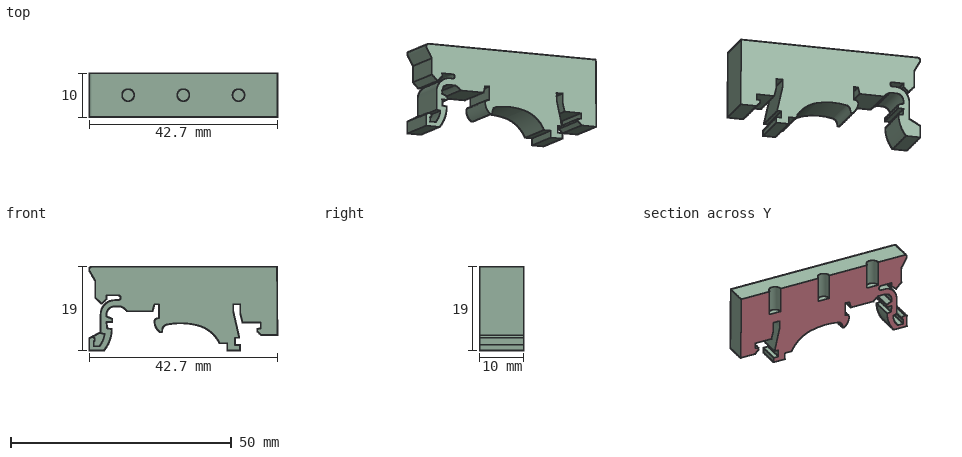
import cadquery as cq
import math

LENGTH = 42.69
WIDTH = 10.0
HEIGHT = 19.0
BACK_DRAFT = 0.1

LIP_RADIUS = 0.67
LIP_SLOPE_ANGLE = math.radians(60)
NOSE_X = 1.41
NOSE_BOTTOM_Z = 11.95
NOSE_TIP_X = 2.83
NOSE_TIP_Z = 10.55

SLOT_X = 3.99
SLOT_MOUTH_Z = 11.65
SLOT_TOP_Z = 12.47
SLOT_BOTTOM_Z = 11.45
SLOT_ROUND_X = 6.62
SLOT_RADIUS = (SLOT_TOP_Z - SLOT_BOTTOM_Z) / 2

ARM_OUTER_X = 2.6
ARM_INNER_X = SLOT_X
ARM_OUTER_RADIUS = 3.3
ARM_INNER_RADIUS = 1.75
ARM_UNDERSIDE_Z = 9.95
ARM_ROOT_X = 7.2
ARM_ROOT_CURVE_MIDDLE = (7.85, 9.6)

LATCH_FRONT_Z = 2.76
LATCH_SLOPE_TOP_Z = 4.15
LATCH_HEEL_X = 3.41
LATCH_INNER_X = 5.17
LATCH_CURVE_MIDDLE = (4.6, 2.0)
LATCH_CURVE_TOP_Z = 4.3
LATCH_SHOULDER_Z = 4.9
LATCH_SHOULDER_ROOT = (4.14, 5.02)
TOOTH_X = 5.27
TOOTH_BOTTOM_Z = 6.43
TOOTH_CORNER_Z = 7.17
TOOTH_TOP_Z = 7.75

POCKET_WALL = 1.18
POCKET_FRONT_X = 1.03
POCKET_FLOOR_Z = 1.03
POCKET_FLOOR_END_X = 2.38
POCKET_TOP_Z = 3.92
POCKET_CURVE_MIDDLE = (3.15, 2.3)
POCKET_CURVE_TOP = (3.55, 3.77)
BEAD_TOP_X = 0.55
BEAD_CURVE_START = (0.85, 2.98)
BEAD_CURVE_MIDDLE = (1.32, 2.55)
BEAD_BOTTOM_Z = 2.06

BELLY_X = 8.6
BELLY_END_X = 14.4
BELLY_Z = 8.9
RAIL_SLOT_TOP_Z = 10.43
HOOK_SLOT_X = 14.83
HOOK_SLOT_END_X = 15.82

HOOK_TOP_Z = 7.33
HOOK_SHOULDER_MIDDLE = (15.0, 7.07)
HOOK_SHOULDER_END = (14.79, 6.62)
HOOK_BACK_MIDDLE = (15.1, 5.3)
HOOK_TIP_START = (16.0, 4.2)
HOOK_TIP_MIDDLE = (16.35, 4.12)
HOOK_TIP_END = (16.6, 4.4)
HOOK_ROOT_MIDDLE = (16.85, 5.35)
ARCH_START = (17.5, 5.85)
ARCH_CROWN = (20.4, 6.17)
ARCH_JOINT = (24.57, 5.69)
ARCH_FLANK_MIDDLE = (27.2, 4.45)
ARCH_END_X = 29.55

FOOT_X = 31.27
FOOT_END_X = 34.2
FOOT_STEP_Z = 1.6
FOOT_TOE_Z = 1.29
FOOT_NOTCH_X = 33.05
FOOT_NOTCH_TOP_Z = 2.85
WEB_CORNER_X = 33.97
WEB_CORNER_Z = 3.2
FOOT_SLOT_X = 32.68
FOOT_SLOT_BEND_Z = 8.86
FOOT_SLOT_END_BEND_Z = 8.42

CATCH_ROOF_X = 34.74
CATCH_ROOF_Z = 6.3
CATCH_WALL_X = 38.84
CATCH_WALL_Z = 5.05
CATCH_NOSE_X = 38.04
CATCH_NOSE_TOP_Z = 4.9
CATCH_NOSE_Z = 4.4
CATCH_TOE_X = 38.96
CATCH_BOTTOM_Z = 3.49

HOLE_DIAMETER = 2.75
HOLE_DEPTH = 6.0
HOLE_PITCH = 12.5
HOLE_COUNT = 3
MIDDLE_HOLE_X = LENGTH / 2

DIAGONAL = math.sqrt(0.5)


def add_latch_end(outline):
    """From the top of the lip round the nose, slot, arm and latch to the arm root."""
    outer_center_x = ARM_OUTER_X + ARM_OUTER_RADIUS
    outer_center_z = SLOT_BOTTOM_Z - ARM_OUTER_RADIUS
    inner_center_x = ARM_INNER_X + ARM_INNER_RADIUS
    inner_center_z = ARM_UNDERSIDE_Z - ARM_INNER_RADIUS
    lip_end_x = LIP_RADIUS * (1 - math.sin(LIP_SLOPE_ANGLE))
    lip_end_z = HEIGHT - LIP_RADIUS * (1 + math.cos(LIP_SLOPE_ANGLE))
    nose_top_z = lip_end_z - (NOSE_X - lip_end_x) * math.tan(LIP_SLOPE_ANGLE)
    return (
        outline.threePointArc((0, HEIGHT - LIP_RADIUS), (lip_end_x, lip_end_z))
        .lineTo(NOSE_X, nose_top_z)
        .lineTo(NOSE_X, NOSE_BOTTOM_Z)
        .lineTo(NOSE_TIP_X, NOSE_TIP_Z)
        .lineTo(SLOT_X, SLOT_MOUTH_Z)
        .lineTo(SLOT_X, SLOT_TOP_Z)
        .lineTo(SLOT_ROUND_X, SLOT_TOP_Z)
        .threePointArc(
            (SLOT_ROUND_X + SLOT_RADIUS, SLOT_BOTTOM_Z + SLOT_RADIUS),
            (SLOT_ROUND_X, SLOT_BOTTOM_Z),
        )
        .lineTo(outer_center_x, SLOT_BOTTOM_Z)
        .threePointArc(
            (
                outer_center_x - ARM_OUTER_RADIUS * DIAGONAL,
                outer_center_z + ARM_OUTER_RADIUS * DIAGONAL,
            ),
            (ARM_OUTER_X, outer_center_z),
        )
        .lineTo(ARM_OUTER_X, LATCH_SLOPE_TOP_Z)
        .lineTo(0, LATCH_FRONT_Z)
        .lineTo(0, 0)
        .lineTo(LATCH_HEEL_X, 0)
        .threePointArc(LATCH_CURVE_MIDDLE, (LATCH_INNER_X, LATCH_CURVE_TOP_Z))
        .lineTo(LATCH_INNER_X, LATCH_SHOULDER_Z)
        .lineTo(*LATCH_SHOULDER_ROOT)
        .lineTo(ARM_INNER_X, TOOTH_BOTTOM_Z)
        .lineTo(TOOTH_X, TOOTH_BOTTOM_Z)
        .lineTo(TOOTH_X, TOOTH_CORNER_Z)
        .lineTo(ARM_INNER_X, TOOTH_TOP_Z)
        .lineTo(ARM_INNER_X, inner_center_z)
        .threePointArc(
            (
                inner_center_x - ARM_INNER_RADIUS * DIAGONAL,
                inner_center_z + ARM_INNER_RADIUS * DIAGONAL,
            ),
            (inner_center_x, ARM_UNDERSIDE_Z),
        )
        .lineTo(ARM_ROOT_X, ARM_UNDERSIDE_Z)
    )


def add_hook_and_arch(outline):
    """From the arm root along the belly, round the rail hook and under the arched web."""
    return (
        outline.threePointArc(ARM_ROOT_CURVE_MIDDLE, (BELLY_X, BELLY_Z))
        .lineTo(BELLY_END_X, BELLY_Z)
        .lineTo(HOOK_SLOT_X, RAIL_SLOT_TOP_Z)
        .lineTo(HOOK_SLOT_END_X, RAIL_SLOT_TOP_Z)
        .lineTo(HOOK_SLOT_END_X, HOOK_TOP_Z)
        .threePointArc(HOOK_SHOULDER_MIDDLE, HOOK_SHOULDER_END)
        .threePointArc(HOOK_BACK_MIDDLE, HOOK_TIP_START)
        .threePointArc(HOOK_TIP_MIDDLE, HOOK_TIP_END)
        .threePointArc(HOOK_ROOT_MIDDLE, ARCH_START)
        .threePointArc(ARCH_CROWN, ARCH_JOINT)
        .threePointArc(ARCH_FLANK_MIDDLE, (ARCH_END_X, FOOT_STEP_Z))
    )


def add_foot_and_catch(outline):
    """From the end of the arch round the foot, its slot and the catch to the plain end."""
    return (
        outline.lineTo(FOOT_X, FOOT_STEP_Z)
        .lineTo(FOOT_X, 0)
        .lineTo(FOOT_END_X, 0)
        .lineTo(FOOT_END_X, FOOT_TOE_Z)
        .lineTo(FOOT_NOTCH_X, FOOT_TOE_Z)
        .lineTo(FOOT_NOTCH_X, FOOT_NOTCH_TOP_Z)
        .lineTo(WEB_CORNER_X, FOOT_NOTCH_TOP_Z)
        .lineTo(WEB_CORNER_X, WEB_CORNER_Z)
        .lineTo(FOOT_SLOT_X, FOOT_SLOT_BEND_Z)
        .lineTo(FOOT_SLOT_X, RAIL_SLOT_TOP_Z)
        .lineTo(FOOT_END_X, RAIL_SLOT_TOP_Z)
        .lineTo(FOOT_END_X, FOOT_SLOT_END_BEND_Z)
        .lineTo(CATCH_ROOF_X, CATCH_ROOF_Z)
        .lineTo(CATCH_WALL_X, CATCH_ROOF_Z)
        .lineTo(CATCH_WALL_X, CATCH_WALL_Z)
        .lineTo(CATCH_NOSE_X, CATCH_NOSE_TOP_Z)
        .lineTo(CATCH_NOSE_X, CATCH_NOSE_Z)
        .lineTo(CATCH_TOE_X, CATCH_BOTTOM_Z)
        .lineTo(LENGTH, CATCH_BOTTOM_Z)
        .lineTo(LENGTH - BACK_DRAFT, HEIGHT)
    )


def make_body():
    """The side profile extruded across the full width."""
    outline = cq.Workplane("XZ").moveTo(LIP_RADIUS, HEIGHT)
    outline = add_latch_end(outline)
    outline = add_hook_and_arch(outline)
    outline = add_foot_and_catch(outline)
    return outline.close().extrude(WIDTH / 2, both=True)


def make_latch_pocket():
    """Cavity behind the rounded bead of the latch; its mouth lies along the latch slope."""
    slope = (LATCH_SLOPE_TOP_Z - LATCH_FRONT_Z) / ARM_OUTER_X
    bead_top_z = LATCH_FRONT_Z + slope * BEAD_TOP_X
    return (
        cq.Workplane("XZ", origin=(0, WIDTH / 2 - POCKET_WALL, 0))
        .moveTo(POCKET_FRONT_X, POCKET_FLOOR_Z)
        .lineTo(POCKET_FLOOR_END_X, POCKET_FLOOR_Z)
        .threePointArc(POCKET_CURVE_MIDDLE, POCKET_CURVE_TOP)
        .lineTo(ARM_OUTER_X, POCKET_TOP_Z)
        .lineTo(ARM_OUTER_X, LATCH_SLOPE_TOP_Z)
        .lineTo(BEAD_TOP_X, bead_top_z)
        .lineTo(*BEAD_CURVE_START)
        .threePointArc(BEAD_CURVE_MIDDLE, (POCKET_FRONT_X, BEAD_BOTTOM_Z))
        .close()
        .extrude(WIDTH - POCKET_WALL)
    )


def make_holes():
    """Row of equal blind holes along the middle of the top face."""
    return (
        cq.Workplane("XY", origin=(MIDDLE_HOLE_X, 0, HEIGHT - HOLE_DEPTH))
        .rarray(HOLE_PITCH, 1, HOLE_COUNT, 1)
        .circle(HOLE_DIAMETER / 2)
        .extrude(HOLE_DEPTH)
    )


result = make_body().cut(make_latch_pocket()).cut(make_holes())